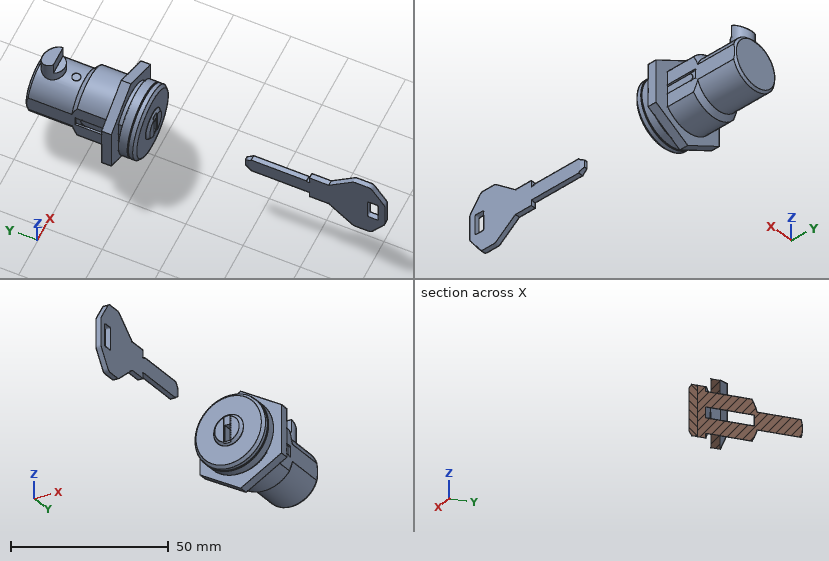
import cadquery as cq
import math


flange_radius = 13.0
flange_thickness = 3.0
barrel_radius = 11.9
barrel_end = 16.0
tail_radius = 10.0
tail_start = 17.9
housing_length = 34.0
tail_chamfer = 0.9
width_across_flats = 19.0

keyway_width = 3.6
keyway_end = 16.8
keyway_depth = 0.6
keyway_run_end = 15.1
keyway_run_depth = 0.7

spot_y = 20.7
spot_radius = 1.5
spot_floor = 9.7

bolt_y = 28.5
bolt_radius = 4.0
bolt_bottom = 0.0
bolt_top = 17.5
bolt_shelf_top = 13.0
bolt_front_face = bolt_y - 1.6
bolt_slope_degrees = 30.0

nut_sides = 6
nut_across_flats = 30.0
nut_thickness = 3.4
nut_front = 1.6

cap_thickness = 2.9
cap_chamfer = 1.0
rim_gap_width = 0.4
rim_gap_depth = 0.2
boss_radius = 5.5
boss_height = 1.1
boss_chamfer = 1.0
boss_slot_width = 2.4
boss_slot_depth = 0.4
keyhole_width = 2.0
cap_front = -flange_thickness - cap_thickness

key_axis_z = -1.2
key_thickness = 2.0
overall_length = 121.5
key_end = housing_length - overall_length
blade_half_height = 2.9
blade_tip = key_end + 48.8
tip_length = 1.6
tip_half_height = 1.5
tip_shoulder_half_height = 2.3
tip_thickness = 1.2
blade_corner = 0.6
shoulder_y = key_end + 26.4
neck_half_height = 5.1
neck_end = key_end + 19.5
relief_length = 1.0
relief_depth = 0.4
head_half_height = 12.0
head_front = key_end + 10.9
head_rear = key_end + 4.9
head_end_half_height = 5.1
head_corner_radius = 1.8
ring_hole_length = 3.6
ring_hole_height = 8.0
ring_hole_y = key_end + 4.1
ring_hole_corner = 0.5


def y_plane(y):
    """Workplane at the given Y whose normal is +Y."""
    return cq.Workplane(cq.Plane(origin=(0, y, 0), xDir=(1, 0, 0), normal=(0, 1, 0)))


def revolved(profile):
    """Solid turned about the lock axis from (radius, y) points."""
    return cq.Workplane("XY").polyline(profile).close().revolve(360, (0, 0, 0), (0, 1, 0))


def bolt_blank():
    """Round bar of the latch bolt, also used to bore its seat in the housing."""
    bar = cq.Workplane("XY").circle(bolt_radius).extrude(bolt_top - bolt_bottom)
    return bar.translate((0, bolt_y, bolt_bottom))


def flatted_bar(start, length):
    """Barrel-sized bar along the lock axis with its two side flats."""
    bar = y_plane(start).circle(barrel_radius).extrude(length)
    flats = y_plane(start).rect(width_across_flats, 2 * barrel_radius).extrude(length)
    return bar.intersect(flats)


def make_keyway(side):
    """Square-ended keyway with a deeper round-ended run, on the +X (1) or -X (-1) flat."""
    flat_x = side * width_across_flats / 2
    shallow = cq.Workplane("XY").box(2 * keyway_depth, keyway_end, keyway_width)
    shallow = shallow.translate((flat_x, keyway_end / 2, 0))
    run_straight = keyway_run_end - keyway_width / 2
    run = cq.Workplane("XY").box(2 * keyway_run_depth, run_straight, keyway_width)
    run = run.translate((flat_x, run_straight / 2, 0))
    round_end = cq.Workplane("YZ").circle(keyway_width / 2).extrude(keyway_run_depth, both=True)
    round_end = round_end.translate((flat_x, run_straight, 0))
    return shallow.union(run).union(round_end)


def make_housing():
    barrel = revolved([
        (0, 0),
        (barrel_radius, 0),
        (barrel_radius, barrel_end),
        (tail_radius, tail_start),
        (tail_radius, housing_length - tail_chamfer),
        (tail_radius - tail_chamfer, housing_length),
        (0, housing_length),
    ])
    barrel = barrel.intersect(flatted_bar(0, housing_length))
    for side in (-1, 1):
        barrel = barrel.cut(make_keyway(side))
    flange = y_plane(-flange_thickness).circle(flange_radius).extrude(flange_thickness)
    spot = cq.Workplane("XY", origin=(0, spot_y, spot_floor)).circle(spot_radius)
    spot = spot.extrude(tail_radius - spot_floor)
    return barrel.union(flange).cut(spot).cut(bolt_blank())


def make_bolt():
    """Round bolt, stepped at the front and sloped down towards the rear."""
    rear = bolt_y + bolt_radius
    rear_top = bolt_top - (rear - bolt_front_face) * math.tan(math.radians(bolt_slope_degrees))
    outline = [
        (bolt_y - bolt_radius, bolt_bottom),
        (bolt_y - bolt_radius, bolt_shelf_top),
        (bolt_front_face, bolt_shelf_top),
        (bolt_front_face, bolt_top),
        (rear, rear_top),
        (rear, bolt_bottom),
    ]
    side_shape = cq.Workplane("YZ").polyline(outline).close().extrude(bolt_radius, both=True)
    return bolt_blank().intersect(side_shape)


def make_nut():
    """Hexagon nut with corners up and down, bored to fit the flatted barrel."""
    across_corners = nut_across_flats / math.cos(math.pi / nut_sides)
    hexagon = y_plane(nut_front).transformed(rotate=(0, 0, 90)).polygon(nut_sides, across_corners)
    return hexagon.extrude(nut_thickness).cut(flatted_bar(nut_front, nut_thickness))


def make_cap():
    """Front cap with a raised boss, a guide slot, a keyhole and a narrow gap behind its rim."""
    boss_front = cap_front - boss_height
    gap_front = -flange_thickness - rim_gap_width
    cap = revolved([
        (0, -flange_thickness),
        (flange_radius - rim_gap_depth, -flange_thickness),
        (flange_radius - rim_gap_depth, gap_front),
        (flange_radius, gap_front),
        (flange_radius, cap_front + cap_chamfer),
        (flange_radius - cap_chamfer, cap_front),
        (boss_radius, cap_front),
        (boss_radius, boss_front + boss_chamfer),
        (boss_radius - boss_chamfer, boss_front),
        (0, boss_front),
    ])
    slot = y_plane(boss_front).rect(boss_slot_width, 2 * boss_radius).extrude(boss_slot_depth)
    keyhole = y_plane(boss_front).rect(keyhole_width, 2 * blade_half_height)
    keyhole = keyhole.extrude(boss_height + cap_thickness)
    return cap.cut(slot).cut(keyhole.translate((0, 0, key_axis_z)))


def key_plate(points):
    """Plate of the key thickness from (y, z) points, centred on X = 0."""
    return cq.Workplane("YZ").polyline(points).close().extrude(key_thickness / 2, both=True)


def make_key():
    tip_base = blade_tip - tip_length
    upper = [
        (blade_tip, tip_half_height),
        (tip_base, tip_shoulder_half_height),
        (tip_base - blade_corner, blade_half_height),
        (shoulder_y, blade_half_height),
        (shoulder_y, neck_half_height),
        (neck_end, neck_half_height),
        (head_front, head_half_height),
        (head_rear, head_half_height),
        (key_end, head_end_half_height),
    ]
    lower = [(y, -z) for y, z in reversed(upper)]
    key = key_plate(upper + lower)
    for y, z in upper[-3:]:
        for corner in ((0, y, z), (0, y, -z)):
            key = key.edges("|X").edges(cq.selectors.NearestToPointSelector(corner))
            key = key.fillet(head_corner_radius)

    taper = [
        (key_thickness / 2, key_end),
        (key_thickness / 2, tip_base),
        (tip_thickness / 2, blade_tip),
        (-tip_thickness / 2, blade_tip),
        (-key_thickness / 2, tip_base),
        (-key_thickness / 2, key_end),
    ]
    tapered_bar = cq.Workplane("XY").polyline(taper).close().extrude(head_half_height, both=True)
    key = key.intersect(tapered_bar)

    relief = cq.Workplane("XY").box(key_thickness, relief_length, 2 * relief_depth)
    key = key.cut(relief.translate((0, shoulder_y + relief_length / 2, blade_half_height)))

    ring_hole = cq.Workplane("XY").box(key_thickness, ring_hole_length, ring_hole_height)
    ring_hole = ring_hole.edges("|X").fillet(ring_hole_corner)
    return key.cut(ring_hole.translate((0, ring_hole_y, 0))).translate((0, 0, key_axis_z))


housing = make_housing()
bolt = make_bolt()
nut = make_nut()
cap = make_cap()
key = make_key()

result = cq.Compound.makeCompound([housing.val(), bolt.val(), nut.val(), cap.val(), key.val()])